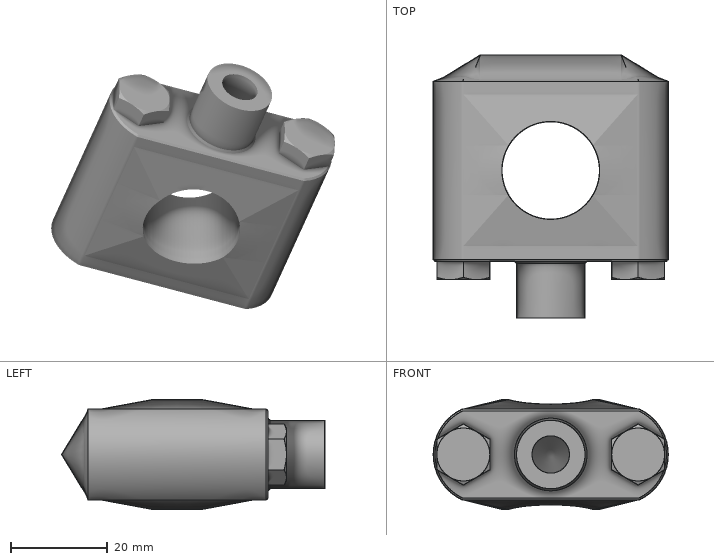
import cadquery as cq
import math


overall_length = 54.85

body_width = 49.0
body_height = 19.0
flat_half_width = 18.4
edge_round = 1.0
front_y = -18.9
rear_y = 18.55
front_chamfer = 0.4

ridge_y = 24.1
ridge_half_length = 14.65
roof_base_reach = 9.1
rear_bevel_height = 1.65
rear_bevel_taper = 69

total_height = 22.85
pad_base_x = 18.1
pad_base_y = 15.75
pad_top_half_y = 5.15
hole_radius = 10.15

boss_radius = 7.15
boss_end_y = ridge_y - overall_length
boss_foot_chamfer = 0.45
bore_radius = 3.9
bore_depth = 12.05
drill_half_angle = math.radians(60)

bolt_x = 18.2
head_across_flats = 11.0
head_end_y = -22.75
hexagon_turn = 30
head_chamfer_angle = math.radians(30)

body_half_height = body_height / 2
total_half_height = total_height / 2


def frontward_plane(y):
    """Plane at the given Y whose normal points toward -Y and whose local axes are X and Z."""
    return cq.Workplane("XZ", origin=(0, y, 0))


def make_body():
    """Block with a flatter bevel behind its rear edge, out of which the roof rises."""
    outline = (
        frontward_plane(rear_y)
        .moveTo(-flat_half_width, body_half_height)
        .lineTo(flat_half_width, body_half_height)
        .threePointArc((body_width / 2, 0), (flat_half_width, -body_half_height))
        .lineTo(-flat_half_width, -body_half_height)
        .threePointArc((-body_width / 2, 0), (-flat_half_width, body_half_height))
        .close()
    )
    block = outline.extrude(rear_y - front_y).edges("|Y").fillet(edge_round)
    block = block.faces("<Y").chamfer(front_chamfer)
    rear_wire = block.faces(">Y").wires().vals()[0]
    bevel = cq.Solid.extrudeLinear(
        rear_wire, [], cq.Vector(0, rear_bevel_height, 0), taper=rear_bevel_taper
    )
    return block.union(cq.Workplane(bevel)).union(make_roof())


def make_roof():
    """Solid under the rear roof, from the rear plane of the body to the ridge."""
    rise = ridge_y - rear_y
    wedge = (
        cq.Workplane("YZ", origin=(-ridge_half_length, 0, 0))
        .polyline([(rear_y, -roof_base_reach), (ridge_y, 0), (rear_y, roof_base_reach)])
        .close()
        .extrude(2 * ridge_half_length)
    )
    for x in (-ridge_half_length, ridge_half_length):
        cone = cq.Solid.makeCone(
            roof_base_reach, 0, rise, pnt=cq.Vector(x, rear_y, 0), dir=cq.Vector(0, 1, 0)
        )
        wedge = wedge.union(cq.Workplane(cone))
    return wedge


def make_upper_pad():
    """Raised pad: a frustum, plus ruled flanks that run up to the rim of the hole."""
    rim_x = math.sqrt(hole_radius**2 - pad_top_half_y**2)
    rise = total_half_height - body_half_height
    frustum = (
        cq.Workplane("XY", origin=(0, 0, body_half_height))
        .rect(2 * pad_base_x, 2 * pad_base_y)
        .workplane(offset=rise)
        .rect(2 * rim_x, 2 * pad_top_half_y)
        .loft(ruled=True)
    )
    flank = (
        cq.Workplane("XY", origin=(0, 0, body_half_height))
        .moveTo(-pad_base_x, -pad_top_half_y)
        .lineTo(pad_base_x, -pad_top_half_y)
        .lineTo(pad_base_x, pad_top_half_y)
        .lineTo(-pad_base_x, pad_top_half_y)
        .close()
        .workplane(offset=rise)
        .moveTo(-rim_x, -pad_top_half_y)
        .lineTo(rim_x, -pad_top_half_y)
        .threePointArc((hole_radius, 0), (rim_x, pad_top_half_y))
        .lineTo(-rim_x, pad_top_half_y)
        .threePointArc((-hole_radius, 0), (-rim_x, -pad_top_half_y))
        .close()
        .loft(ruled=True)
    )
    return frustum.union(flank)


def make_boss():
    """Round boss with a conical foot on the front face."""
    boss = frontward_plane(front_y).circle(boss_radius).extrude(front_y - boss_end_y)
    foot = cq.Solid.makeCone(
        boss_radius + boss_foot_chamfer,
        boss_radius,
        boss_foot_chamfer,
        pnt=cq.Vector(0, front_y, 0),
        dir=cq.Vector(0, -1, 0),
    )
    return boss.union(cq.Workplane(foot))


def make_bore():
    """Blind drilled hole entering through the end of the boss."""
    tip_depth = bore_depth + bore_radius / math.tan(drill_half_angle)
    return (
        cq.Workplane("XY")
        .moveTo(0, boss_end_y)
        .lineTo(bore_radius, boss_end_y)
        .lineTo(bore_radius, boss_end_y + bore_depth)
        .lineTo(0, boss_end_y + tip_depth)
        .close()
        .revolve(360, (0, 0, 0), (0, 1, 0))
    )


def make_bolt_head(x):
    """Hexagon head with corners at top and bottom and a conical bevel on its outer face."""
    height = front_y - head_end_y
    flat_radius = head_across_flats / 2
    corner_radius = flat_radius / math.cos(math.radians(30))
    hexagon = (
        frontward_plane(front_y)
        .center(x, 0)
        .transformed(rotate=(0, 0, hexagon_turn))
        .polygon(6, 2 * corner_radius)
        .extrude(height)
    )
    bevel = cq.Solid.makeCone(
        flat_radius + height / math.tan(head_chamfer_angle),
        flat_radius,
        height,
        pnt=cq.Vector(x, front_y, 0),
        dir=cq.Vector(0, -1, 0),
    )
    return hexagon.intersect(cq.Workplane(bevel))


upper_pad = make_upper_pad()
result = make_body().union(upper_pad).union(upper_pad.mirror("XY")).union(make_boss())
for head_x in (-bolt_x, bolt_x):
    result = result.union(make_bolt_head(head_x))

clamp_hole = cq.Workplane("XY", origin=(0, 0, -total_half_height)).circle(hole_radius).extrude(total_height)
result = result.cut(clamp_hole).cut(make_bore())